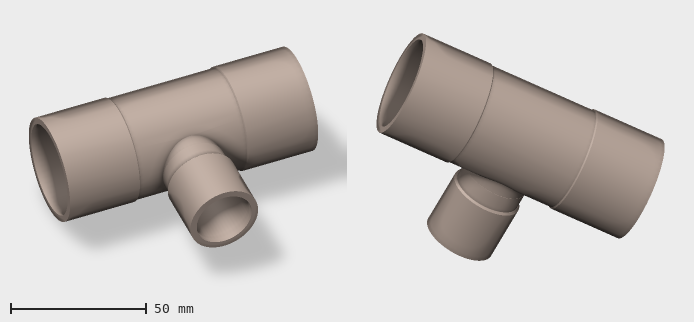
import cadquery as cq

run_length = 99.0
run_diameter = 39.0
run_sleeve_diameter = 40.0
run_sleeve_length = 28.3
run_sleeve_bevel = (run_sleeve_diameter - run_diameter) / 2
run_socket_diameter = 35.0
run_socket_depth = run_sleeve_length

branch_reach = 49.0
root_diameter = 24.75
root_end = run_sleeve_diameter / 2
neck_diameter = 25.0
branch_sleeve_diameter = 27.0
branch_sleeve_length = 22.6
branch_sleeve_bevel = 0.7
branch_socket_diameter = 22.0
branch_socket_depth = branch_sleeve_length


def cylinder_y(diameter, start, end):
    """Cylinder on the Y axis between two Y positions."""
    return cq.Workplane("XZ", origin=(0, start, 0)).circle(diameter / 2).extrude(start - end)


def cylinder_x(diameter, start, end):
    """Cylinder on the X axis between two X positions."""
    return cq.Workplane("YZ", origin=(start, 0, 0)).circle(diameter / 2).extrude(end - start)


def make_run():
    """Solid run with a larger sleeve, bevelled on its inner rim, at each end."""
    half = run_length / 2
    sleeve_start = half - run_sleeve_length
    sleeve = cylinder_y(run_sleeve_diameter, sleeve_start, half)
    sleeve = sleeve.faces("<Y").chamfer(run_sleeve_bevel)
    return cylinder_y(run_diameter, -half, half).union(sleeve).union(sleeve.mirror("XZ"))


def make_branch():
    """Solid branch: narrow root, neck, then a sleeve bevelled towards the neck."""
    sleeve_start = branch_reach - branch_sleeve_length
    sleeve = cylinder_x(branch_sleeve_diameter, sleeve_start, branch_reach)
    sleeve = sleeve.faces("<X").chamfer(branch_sleeve_bevel)
    root = cylinder_x(root_diameter, 0, root_end)
    neck = cylinder_x(neck_diameter, root_end, sleeve_start)
    return root.union(neck).union(sleeve)


def cut_sockets(body):
    """Flat-bottomed pipe sockets in both run ends and in the branch end."""
    half = run_length / 2
    run_socket = cylinder_y(run_socket_diameter, half - run_socket_depth, half)
    branch_socket = cylinder_x(
        branch_socket_diameter, branch_reach - branch_socket_depth, branch_reach
    )
    return body.cut(run_socket).cut(run_socket.mirror("XZ")).cut(branch_socket)


result = cut_sockets(make_run().union(make_branch()))